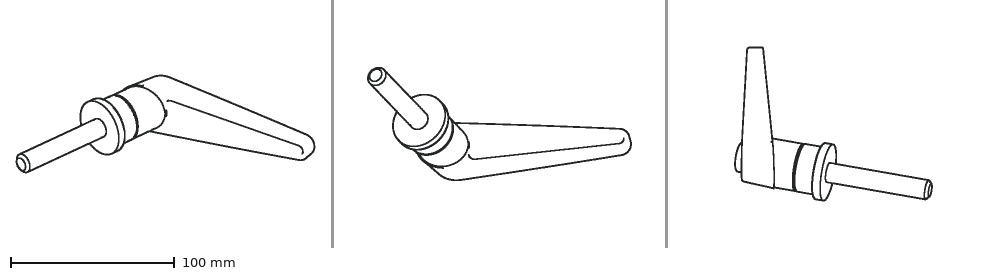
import cadquery as cq
import math


flange_radius = 17.5
flange_height = 5.5
flange_chamfer = 0.5
collar_radius = 14.9
collar_top = 17.2
cove_radius = 2.0
neck_radius = 14.0
stud_radius = 6.0
stud_length = 64.9
stud_chamfer = 1.9

hub_radius = 14.7
hub_bottom = 18.4
button_radius = 9.1
button_top = 57.1
button_fillet = 1.6

arm_top_at_axis = 54.9
arm_top_angle = 14.8
arm_bottom_at_axis = 35.3
arm_bottom_angle = 19.5
root_radius = 15.7
root_axis_y = 25.5
root_axis_slope = 0.085
tip_radius = 7.0
tip_axis_x = 100.8
tip_axis_y = 73.6
tip_axis_slope = -0.3
bar_low = 14.7
bar_high = 95.7
arm_reach = 132.5
top_fillet = 1.8
bottom_fillet = 0.7
sharp_root_end = 0.0

pocket_start = 15.9
pocket_side_angle = 4.6
pocket_tip_center = 107.7
pocket_tip_radius = 3.2
pocket_corner_radius = 3.8
pocket_draft = 1.0
pocket_floor_at_axis = 48.9
pocket_floor_angle = 16.3
pocket_floor_fillet = 1.8
pocket_corner_limit = 22.1
largest_corner_lean = 0.5
pocket_blank_depth = 16.2

hub_sink = 1.5
hub_top_at_axis = arm_bottom_at_axis + hub_sink


def cylinder_y(radius, low, high):
    """Cylinder about the Y axis between two heights."""
    base = cq.Workplane("XZ", origin=(0, low, 0))
    return base.circle(radius).extrude(low - high)


def make_insert():
    cove_bottom_radius = collar_radius + cove_radius
    cove_top = flange_height + cove_radius
    cove_mid = cove_radius * math.sqrt(0.5)
    profile = (
        cq.Workplane("XY")
        .moveTo(0, -stud_length)
        .lineTo(stud_radius - stud_chamfer, -stud_length)
        .lineTo(stud_radius, stud_chamfer - stud_length)
        .lineTo(stud_radius, 0)
        .lineTo(flange_radius, 0)
        .lineTo(flange_radius, flange_height - flange_chamfer)
        .lineTo(cove_bottom_radius, flange_height)
        .threePointArc(
            (cove_bottom_radius - cove_mid, cove_top - cove_mid),
            (collar_radius, cove_top),
        )
        .lineTo(collar_radius, collar_top)
        .lineTo(neck_radius, collar_top)
        .lineTo(neck_radius, hub_bottom)
        .lineTo(0, hub_bottom)
        .close()
    )
    return profile.revolve(360, (0, 0, 0), (0, 1, 0))


def arm_outline(height):
    """Closed outline of the arm blank in a plane of constant Y."""
    root_x = root_axis_slope * (height - root_axis_y)
    tip_x = tip_axis_x + tip_axis_slope * (height - tip_axis_y)
    lean = (root_radius - tip_radius) / (tip_x - root_x)
    width = math.sqrt(1 - lean**2)
    root = (root_x + root_radius * lean, root_radius * width)
    tip = (tip_x + tip_radius * lean, tip_radius * width)
    return (
        cq.Workplane("XZ", origin=(0, height, 0))
        .moveTo(*root)
        .lineTo(*tip)
        .threePointArc((tip_x + tip_radius, 0), (tip[0], -tip[1]))
        .lineTo(root[0], -root[1])
        .threePointArc((root_x - root_radius, 0), root)
        .close()
        .wire()
        .val()
    )


def arm_height(at_axis, angle, x):
    """Height at X of a slanted plane, from its height at the stud axis."""
    return at_axis + math.tan(math.radians(angle)) * x


def slanted_slab(lower, upper):
    """Wedge between two slanted planes, each given as (height at the axis, angle)."""
    return (
        cq.Workplane("XY")
        .polyline([
            (-arm_reach, arm_height(*lower, -arm_reach)),
            (arm_reach, arm_height(*lower, arm_reach)),
            (arm_reach, arm_height(*upper, arm_reach)),
            (-arm_reach, arm_height(*upper, -arm_reach)),
        ])
        .close()
        .extrude(2 * root_radius, both=True)
    )


def make_arm():
    blank = cq.Solid.makeLoft([arm_outline(bar_low), arm_outline(bar_high)], True)
    slab = slanted_slab(
        (arm_bottom_at_axis, arm_bottom_angle),
        (arm_top_at_axis, arm_top_angle),
    )
    return cq.Workplane(blank).intersect(slab)


def up_from_face(angle):
    """Unit normal of a slanted arm face, pointing upwards."""
    slant = math.radians(angle)
    return cq.Vector(-math.sin(slant), math.cos(slant), 0)


def round_top(arm):
    top = arm.faces(cq.DirectionMinMaxSelector(up_from_face(arm_top_angle)))
    return top.edges().fillet(top_fillet)


def round_underside(arm):
    """Round the outer edge and the pocket rim, leaving the root sharp around the hub."""
    bottom = arm.faces(cq.DirectionMinMaxSelector(-up_from_face(arm_bottom_angle)))
    rounded = bottom.edges().fillet(bottom_fillet)
    root_zone = cq.Workplane("XY").box(2 * arm_reach, 2 * arm_reach, 2 * arm_reach)
    root_zone = root_zone.translate((sharp_root_end - arm_reach, 0, 0))
    return rounded.cut(root_zone).union(arm.intersect(root_zone))


def is_side_corner(edge):
    """True for an edge that runs through the depth of the pocket."""
    across = edge.tangentAt(0).cross(up_from_face(arm_bottom_angle)).Length
    return across < largest_corner_lean


def make_pocket():
    slant = math.radians(arm_bottom_angle)
    face = cq.Plane(
        origin=(0, arm_bottom_at_axis, 0),
        xDir=(math.cos(slant), math.sin(slant), 0),
        normal=up_from_face(arm_bottom_angle),
    )
    side = math.radians(pocket_side_angle)
    tip_u = pocket_tip_center + pocket_tip_radius * math.sin(side)
    tip_v = pocket_tip_radius * math.cos(side)
    start_v = tip_v + (tip_u - pocket_start) * math.tan(side)
    blank = (
        cq.Workplane(face)
        .moveTo(pocket_start, -start_v)
        .lineTo(tip_u, -tip_v)
        .threePointArc(
            (pocket_tip_center + pocket_tip_radius, 0),
            (tip_u, tip_v),
        )
        .lineTo(pocket_start, start_v)
        .close()
        .extrude(pocket_blank_depth, taper=pocket_draft)
    )
    below_floor = slanted_slab(
        (arm_bottom_at_axis, arm_bottom_angle),
        (pocket_floor_at_axis, pocket_floor_angle),
    )
    wide_end = cq.selectors.BoxSelector(
        (-arm_reach, -arm_reach, -arm_reach),
        (pocket_corner_limit, arm_reach, arm_reach),
    )
    end_wall_corners = blank.edges(wide_end)
    blank = end_wall_corners.filter(is_side_corner).fillet(pocket_corner_radius)
    pocket = blank.intersect(below_floor)
    floor = pocket.faces(cq.DirectionMinMaxSelector(up_from_face(pocket_floor_angle)))
    return floor.edges().fillet(pocket_floor_fillet)


def make_hub():
    """Hub cylinder, ending on a slant just inside the arm."""
    highest = arm_height(hub_top_at_axis, arm_bottom_angle, hub_radius)
    slab = slanted_slab((0, arm_bottom_angle), (hub_top_at_axis, arm_bottom_angle))
    return cylinder_y(hub_radius, hub_bottom, highest).intersect(slab)


def make_handle():
    arm = round_underside(round_top(make_arm()).cut(make_pocket()))
    hub = make_hub()
    button = cylinder_y(button_radius, hub_top_at_axis, button_top)
    button = button.faces(">Y").edges().fillet(button_fillet)
    return arm.union(hub).union(button)


insert = make_insert()
handle = make_handle()
result = cq.Compound.makeCompound([insert.solids().val(), handle.solids().val()])